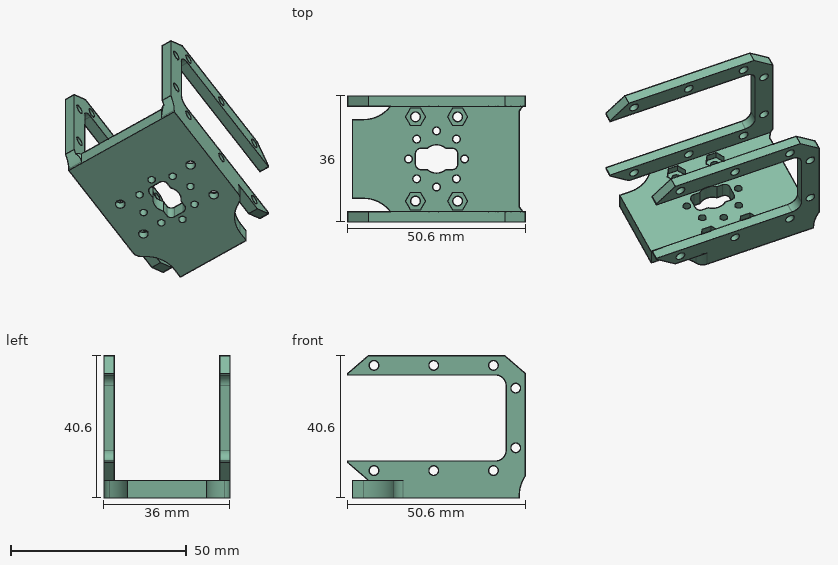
import cadquery as cq
import math

length = 50.6
width = 36.0
height = 40.6

base_thickness = 5.1
base_left = 1.35
base_right = 48.9
nose_half_width = 11.25
flare_start = 4.55
flare_end = 15.75
flare_radius = 9.55

frame_thickness = 3.0
bar_width = 5.5
chamfer_length = 5.85
tip_height = 0.45
window_radius = 3.0
frame_hole_diameter = 2.7
frame_hole_pitch = 17.0
frame_hole_middle_x = 24.5

gusset_bottom = 0.75
gusset_radius = 10.0
gusset_inner_y = 13.65

pattern_x = length / 2
small_hole_diameter = 2.1
small_hole_count = 8
bolt_circle_radius = 8.0
nut_hole_diameter = 2.7
nut_pitch_x = 12.0
nut_pitch_y = 2 * nut_pitch_x
nut_across_flats = 4.95
nut_pocket_depth = 2.25
cutout_length = 12.0
cutout_width = 6.0
cutout_corner_radius = 1.5
cutout_bore_diameter = 8.0

half_width = width / 2
frame_inner_y = half_width - frame_thickness


def make_base():
    """Plate whose narrow left nose widens to full width through S-shaped flares."""
    flare_length = flare_end - flare_start
    flare_rise = half_width - nose_half_width
    radius_sum = (flare_length**2 + flare_rise**2) / (2 * flare_rise)
    turn = math.asin(flare_length / radius_sum)
    bend_x = flare_start + flare_radius * math.sin(turn)
    bend_y = nose_half_width + flare_radius * (1 - math.cos(turn))
    return (
        cq.Workplane("XY")
        .moveTo(base_left, -nose_half_width)
        .lineTo(flare_start, -nose_half_width)
        .radiusArc((bend_x, -bend_y), flare_radius)
        .radiusArc((flare_end, -half_width), -(radius_sum - flare_radius))
        .lineTo(base_right, -half_width)
        .lineTo(base_right, half_width)
        .lineTo(flare_end, half_width)
        .radiusArc((bend_x, bend_y), -(radius_sum - flare_radius))
        .radiusArc((flare_start, nose_half_width), flare_radius)
        .lineTo(base_left, nose_half_width)
        .close()
        .extrude(base_thickness)
    )


def make_frame():
    """C-shaped frame on the -Y side, open to the left and curved inwards at its lower right."""
    bottom = base_thickness
    window_bottom = bottom + bar_width
    window_top = height - bar_width
    window_right = length - bar_width
    middle_z = (bottom + height) / 2

    gusset_width = length - base_right
    gusset_height = math.sqrt(gusset_radius**2 - (gusset_radius - gusset_width) ** 2)

    profile = (
        cq.Workplane("XZ", origin=(0, -frame_inner_y, 0))
        .moveTo(0, window_bottom)
        .lineTo(0, window_bottom - tip_height)
        .lineTo(chamfer_length, bottom)
        .lineTo(base_right, bottom)
        .lineTo(base_right, gusset_bottom)
        .radiusArc((length, gusset_bottom + gusset_height), gusset_radius)
        .lineTo(length, window_top + tip_height)
        .lineTo(length - chamfer_length, height)
        .lineTo(chamfer_length, height)
        .lineTo(0, window_top + tip_height)
        .lineTo(0, window_top)
        .lineTo(window_right - window_radius, window_top)
        .radiusArc((window_right, window_top - window_radius), window_radius)
        .lineTo(window_right, window_bottom + window_radius)
        .radiusArc((window_right - window_radius, window_bottom), window_radius)
        .close()
    )
    frame = profile.extrude(frame_thickness)

    hole_points = []
    for bar_z in (bottom + bar_width / 2, height - bar_width / 2):
        for step in (-1, 0, 1):
            hole_points.append((frame_hole_middle_x + step * frame_hole_pitch, bar_z))
    for side in (-1, 1):
        hole_points.append((length - bar_width / 2, middle_z + side * frame_hole_pitch / 2))
    holes = (
        cq.Workplane("XZ", origin=(0, -frame_inner_y, 0))
        .pushPoints(hole_points)
        .circle(frame_hole_diameter / 2)
        .extrude(frame_thickness)
    )
    return frame.cut(holes)


def make_gusset_web():
    """Tapered web on the inner side of the -Y frame, under the top of the base."""
    gusset_height = base_thickness - gusset_bottom
    top_x = base_right + gusset_radius - math.sqrt(gusset_radius**2 - gusset_height**2)
    profile = (
        cq.Workplane("XZ", origin=(0, -gusset_inner_y, 0))
        .moveTo(base_right, base_thickness)
        .lineTo(base_right, gusset_bottom)
        .radiusArc((top_x, base_thickness), gusset_radius)
        .close()
        .extrude(frame_inner_y - gusset_inner_y)
    )
    taper = (
        cq.Workplane("XY")
        .moveTo(base_right, -gusset_inner_y)
        .lineTo(base_right, -frame_inner_y)
        .lineTo(top_x, -frame_inner_y)
        .close()
        .extrude(base_thickness)
    )
    return profile.intersect(taper)


def make_base_openings():
    """Tool body for the central cutout, the bolt circle and the nut holes."""
    plane = cq.Workplane("XY", origin=(pattern_x, 0, 0))
    cutout = (
        plane.rect(cutout_length, cutout_width)
        .extrude(base_thickness)
        .edges("|Z")
        .fillet(cutout_corner_radius)
    )
    bore = plane.circle(cutout_bore_diameter / 2).extrude(base_thickness)
    bolt_holes = (
        plane.polarArray(bolt_circle_radius, 0, 360, small_hole_count)
        .circle(small_hole_diameter / 2)
        .extrude(base_thickness)
    )
    nut_holes = (
        plane.rarray(nut_pitch_x, nut_pitch_y, 2, 2)
        .circle(nut_hole_diameter / 2)
        .extrude(base_thickness)
    )
    nut_across_corners = nut_across_flats / math.cos(math.pi / 6)
    nut_pockets = (
        plane.workplane(offset=base_thickness - nut_pocket_depth)
        .rarray(nut_pitch_x, nut_pitch_y, 2, 2)
        .polygon(6, nut_across_corners)
        .extrude(nut_pocket_depth)
    )
    return cutout.union(bore).union(bolt_holes).union(nut_holes).union(nut_pockets)


side = make_frame().union(make_gusset_web())
result = make_base().cut(make_base_openings()).union(side).union(side.mirror("XZ"))